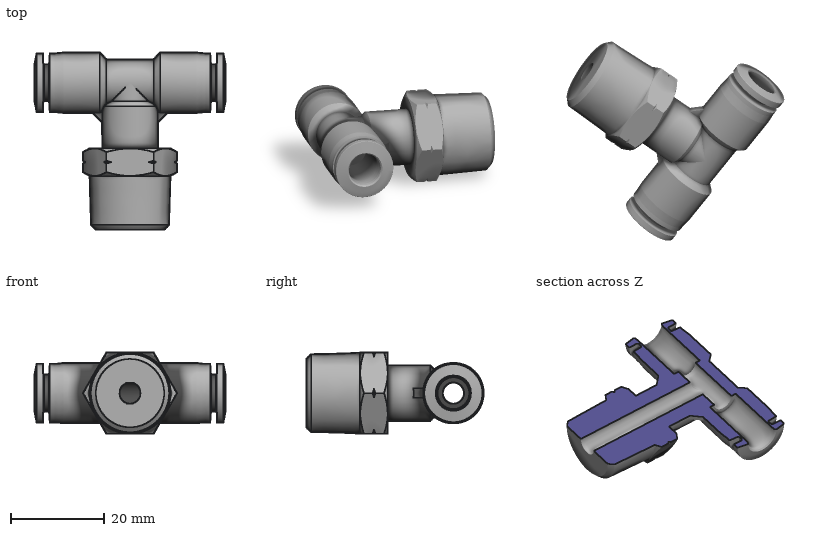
import cadquery as cq
import math


tube_radius = 5.0
body_radius = 6.5
ring_radius = 6.3
body_end_radius = ring_radius
shoulder_start_x = 5.05
shoulder_end_x = 6.45
body_taper_start_x = 14.25
body_taper_end_x = 16.2
body_rim_x = 17.2
body_face_x = 17.36

neck_radius = 4.0
neck_flare = 0.2
ring_back_x = 18.6
ring_rim_x = 19.95
ring_edge_bevel = 0.08
run_half_length = 20.5

passage_radius = 2.25
socket_radius = 3.4
socket_lead_radius = 3.5
socket_mouth_radius = 3.78
socket_lead_depth = 1.05
socket_mouth_depth = 0.3
socket_stop_x = shoulder_end_x

stem_radius = 6.0
stem_tip_radius = tube_radius
stem_bevel_end = 5.0
stem_bevel_start = stem_bevel_end - (stem_radius - stem_tip_radius)

hex_sides = 6
hex_across_flats = 17.4625
hex_across_corners = hex_across_flats / math.cos(math.pi / hex_sides)
hex_start = 14.0
hex_length = 6.0
hex_end = hex_start + hex_length
hex_bevel_radius = 8.6
hex_bevel_angle = 30
notch_depth = 0.48
notch_half_width = 0.3

thread_start_radius = 8.7
thread_taper = 1 / 16
thread_bevel = 1.05
branch_length = 31.5
thread_end = branch_length - thread_bevel
thread_end_radius = thread_start_radius - (thread_end - hex_end) * thread_taper / 2

rib_thickness = 2.0
rib_reach = 14.5


def revolve_about_run(points):
    """Revolve (x, radius) points about the X axis."""
    return cq.Workplane("XY").polyline(points).close().revolve(360, (0, 0), (1, 0))


def revolve_about_branch(points):
    """Revolve (radius, distance toward -Y) points about the Y axis."""
    profile = [(radius, -distance) for radius, distance in points]
    return cq.Workplane("XY").polyline(profile).close().revolve(360, (0, 0), (0, 1))


def run_half():
    """Outside of the +X half of the run."""
    return revolve_about_run([
        (0, 0),
        (0, tube_radius),
        (shoulder_start_x, tube_radius),
        (shoulder_end_x, body_radius),
        (body_taper_start_x, body_radius),
        (body_taper_end_x, body_end_radius),
        (body_rim_x, body_end_radius),
        (body_face_x, neck_radius),
        (ring_back_x - neck_flare, neck_radius),
        (ring_back_x, neck_radius + neck_flare),
        (ring_back_x, ring_radius),
        (ring_rim_x, ring_radius),
        (ring_rim_x + ring_edge_bevel, ring_radius - ring_edge_bevel),
        (run_half_length, socket_mouth_radius),
        (run_half_length, 0),
    ])


def socket_half():
    """Stepped bore of the +X half of the run."""
    mouth_x = run_half_length - socket_mouth_depth
    lead_x = run_half_length - socket_lead_depth
    return revolve_about_run([
        (0, 0),
        (0, passage_radius),
        (socket_stop_x, passage_radius),
        (socket_stop_x, socket_radius),
        (lead_x, socket_radius),
        (mouth_x, socket_lead_radius),
        (run_half_length, socket_mouth_radius),
        (run_half_length, 0),
    ])


def both_sides(half):
    """Join a +X half with its mirror image."""
    return half.union(half.mirror("YZ"))


def stem():
    """Plain stem from the run axis to the hexagon."""
    return revolve_about_branch([
        (0, 0),
        (stem_tip_radius, 0),
        (stem_tip_radius, stem_bevel_start),
        (stem_radius, stem_bevel_end),
        (stem_radius, hex_start),
        (0, hex_start),
    ])


def hexagon():
    """Hexagon with corners on +X and -X, bevelled ends and V notches across its corners."""
    prism = (
        cq.Workplane("XZ")
        .workplane(offset=hex_start)
        .polygon(hex_sides, hex_across_corners)
        .extrude(hex_length)
    )
    corner_radius = hex_across_corners / 2
    bevel_drop = (corner_radius - hex_bevel_radius) * math.tan(math.radians(hex_bevel_angle))
    hex_middle = hex_start + hex_length / 2
    envelope = revolve_about_branch([
        (0, hex_start),
        (hex_bevel_radius, hex_start),
        (corner_radius, hex_start + bevel_drop),
        (corner_radius, hex_middle - notch_half_width),
        (corner_radius - notch_depth, hex_middle),
        (corner_radius, hex_middle + notch_half_width),
        (corner_radius, hex_end - bevel_drop),
        (hex_bevel_radius, hex_end),
        (0, hex_end),
    ])
    return prism.intersect(envelope)


def thread():
    """Tapered thread envelope with a 45 degree bevel at its free end."""
    return revolve_about_branch([
        (0, hex_end),
        (thread_start_radius, hex_end),
        (thread_end_radius, thread_end),
        (thread_end_radius - thread_bevel, branch_length),
        (0, branch_length),
    ])


def ribs():
    """Triangular plate whose 45 degree edges brace the stem against both socket bodies."""
    return (
        cq.Workplane("XY")
        .polyline([(-rib_reach, 0), (rib_reach, 0), (0, -rib_reach)])
        .close()
        .extrude(rib_thickness / 2, both=True)
    )


def branch_bore():
    """Passage from the run axis out through the thread end."""
    return cq.Workplane("XZ").circle(passage_radius).extrude(branch_length)


outside = both_sides(run_half()).union(stem()).union(ribs()).union(hexagon()).union(thread())
result = outside.cut(both_sides(socket_half())).cut(branch_bore())